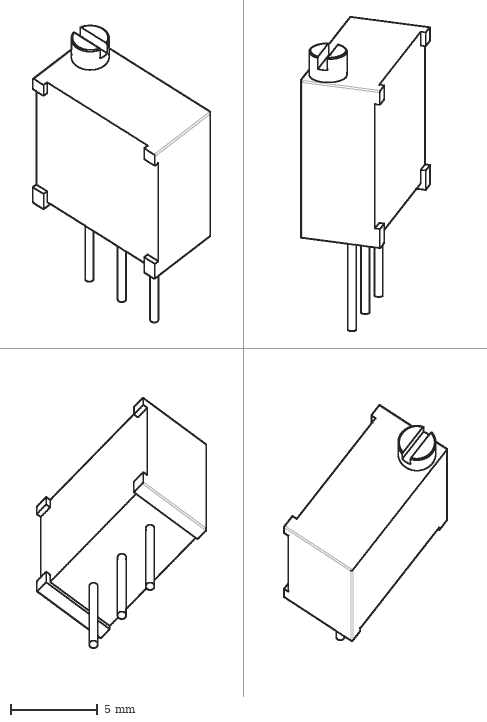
import cadquery as cq

width = 9.53
depth = 4.83
height = 10.0
edge_radius = 0.09

pad_width = 0.85
pad_thickness = 0.3
top_pad_height = 0.88
bottom_pad_height = 1.24
rail_height = 0.38

screw_diameter = 2.19
screw_height = 1.55
screw_from_side = 1.27
screw_from_back = 1.27
screw_bevel = 0.07
slot_width = 0.57
slot_depth = 0.77

overall_height = 17.95
pin_diameter = 0.5
pin_pitch = 2.53
pin_count = 3

back_y = depth / 2
front_y = -depth / 2
pin_tip_z = height + screw_height - overall_height
gap_between_pads = width - 2 * pad_width
middle_height = height - top_pad_height - bottom_pad_height


def make_housing():
    """Block with rounded ends, a recessed front and two rails below."""
    block = cq.Workplane("XY").box(width, depth, height, centered=(True, True, False))
    block = block.faces("<X or >X").edges("not <Y").fillet(edge_radius)

    vertical_cut = (
        cq.Workplane("XY")
        .box(gap_between_pads, pad_thickness, height, centered=(True, False, False))
        .translate((0, front_y, 0))
    )
    horizontal_cut = (
        cq.Workplane("XY")
        .box(width, pad_thickness, middle_height, centered=(True, False, False))
        .translate((0, front_y, bottom_pad_height))
    )
    channel = cq.Workplane("XY").box(gap_between_pads, depth, rail_height, centered=(True, True, False))
    return block.cut(vertical_cut).cut(horizontal_cut).cut(channel)


def make_screw():
    """Slotted screw head standing on the top face."""
    screw_x = screw_from_side - width / 2
    screw_y = back_y - screw_from_back
    head = (
        cq.Workplane("XY")
        .circle(screw_diameter / 2)
        .extrude(screw_height)
        .faces(">Z")
        .chamfer(screw_bevel)
    )
    slot = (
        cq.Workplane("XY")
        .box(screw_diameter, slot_width, slot_depth, centered=(True, True, False))
        .translate((0, 0, screw_height - slot_depth))
    )
    return head.cut(slot).translate((screw_x, screw_y, height))


def make_pins():
    """Row of round pins reaching down from the channel."""
    return (
        cq.Workplane("XY", origin=(0, 0, pin_tip_z))
        .rarray(pin_pitch, 0.18, pin_count, 1)
        .circle(pin_diameter / 2)
        .extrude(rail_height - pin_tip_z)
    )


result = make_housing().union(make_screw()).union(make_pins())